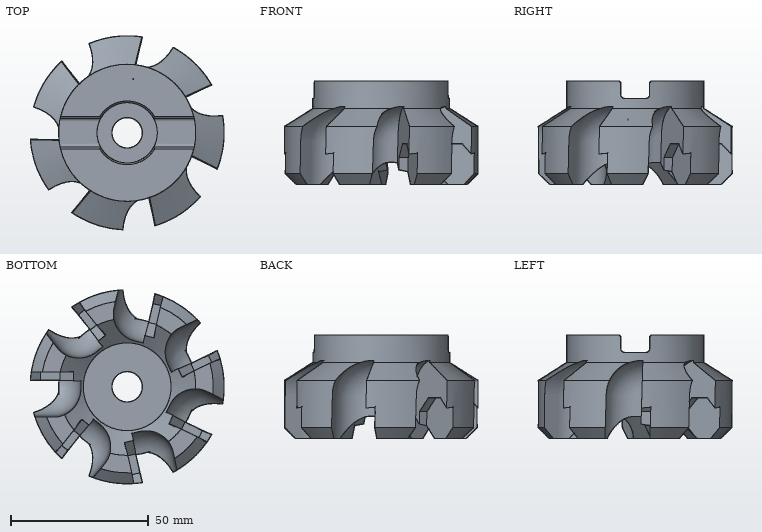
import cadquery as cq
import math

total_height = 37.78
rim_radius = 35.4
hub_radius = 25.0
shoulder_top_z = 27.8
shoulder_bottom_z = 21.2
bottom_chamfer = 4.0

bore_radius = 11.0
bore_depth = 20.0
bore_chamfer = 0.6
screw_hole_radius = 5.5
recess_mouth_radius = 25.0
recess_depth = 9.0
recess_top_radius = recess_mouth_radius - recess_depth

slot_width = 10.4
slot_depth = 6.3
slot_floor_fillet = 1.2
slot_edge_chamfer = 0.7

tooth_count = 7
first_tooth_angle = 180.0
axial_rake = 1.7
face_offset = 2.4
runout_z = 15.7
flute_floor_radius = 16.9
flute_floor_width = 3.0
flute_corner_radius = 10.0
flute_width = flute_floor_width + flute_corner_radius

pocket_sides = 8
pocket_across_flats = 17.0
pocket_depth = 3.4
pocket_center_radius = 28.1
pocket_center_z = 6.4

margin = 5.0


def make_body():
    """Hub, conical shoulder, rim and bottom chamfer in one revolve."""
    return (
        cq.Workplane("XZ")
        .moveTo(0, 0)
        .lineTo(rim_radius - bottom_chamfer, 0)
        .lineTo(rim_radius, bottom_chamfer)
        .lineTo(rim_radius, shoulder_bottom_z)
        .lineTo(hub_radius, shoulder_top_z)
        .lineTo(hub_radius, total_height)
        .lineTo(0, total_height)
        .close()
        .revolve(360, (0, 0), (0, 1))
    )


def make_center_cutter():
    """Stepped bore with its top chamfer, plus the conical recess below."""
    bore_floor_z = total_height - bore_depth
    return (
        cq.Workplane("XZ")
        .moveTo(0, 0)
        .lineTo(recess_mouth_radius, 0)
        .lineTo(recess_top_radius, recess_depth)
        .lineTo(screw_hole_radius, recess_depth)
        .lineTo(screw_hole_radius, bore_floor_z)
        .lineTo(bore_radius, bore_floor_z)
        .lineTo(bore_radius, total_height - bore_chamfer)
        .lineTo(bore_radius + bore_chamfer, total_height)
        .lineTo(0, total_height)
        .close()
        .revolve(360, (0, 0), (0, 1))
    )


def make_slot_cutter():
    """Drive slot with rounded floor corners and chamfered upper edges."""
    length = 2 * (hub_radius + margin)
    slot = (
        cq.Workplane("XY")
        .workplane(offset=total_height - slot_depth)
        .rect(length, slot_width)
        .extrude(slot_depth)
        .edges("|X and <Z")
        .fillet(slot_floor_fillet)
    )
    half_width = slot_width / 2
    flare = (
        cq.Workplane("YZ")
        .moveTo(-half_width, total_height - slot_edge_chamfer)
        .lineTo(half_width, total_height - slot_edge_chamfer)
        .lineTo(half_width + slot_edge_chamfer, total_height)
        .lineTo(-half_width - slot_edge_chamfer, total_height)
        .close()
        .extrude(length / 2, both=True)
    )
    return slot.union(flare)


def flute_section():
    """Plan section of a flute: tooth face, flat floor, round corner, open rim.

    The tooth face is the plane y = face_offset and the flute lies on its -Y side.
    """
    corner_x = flute_floor_radius + flute_corner_radius
    outer_x = rim_radius + margin
    diagonal = flute_corner_radius * math.sqrt(0.5)
    return (
        cq.Workplane("XY", origin=(0, face_offset, runout_z))
        .moveTo(flute_floor_radius, 0)
        .lineTo(flute_floor_radius, -flute_floor_width)
        .threePointArc(
            (corner_x - diagonal, -flute_floor_width - diagonal),
            (corner_x, -flute_width),
        )
        .lineTo(outer_x, -flute_width)
        .lineTo(outer_x, 0)
        .close()
    )


def make_flute_cutter():
    """Flute section run straight down, and swept a quarter turn above."""
    straight = flute_section().extrude(-(runout_z + margin))
    round_end = flute_section().revolve(90, (0, 0), (-1, 0))
    return straight.union(round_end)


def make_pocket_cutter():
    """Octagonal prism sunk into the tooth face, open towards the flute."""
    circumscribed_diameter = pocket_across_flats / math.cos(math.pi / pocket_sides)
    seat_y = face_offset + pocket_depth
    return (
        cq.Workplane("XZ", origin=(pocket_center_radius, seat_y, pocket_center_z))
        .transformed(rotate=(0, 0, 180 / pocket_sides))
        .polygon(pocket_sides, circumscribed_diameter)
        .extrude(pocket_depth + flute_floor_width)
    )


def make_tooth_gap_cutter():
    """Flute and insert pocket, leaned together by the axial rake."""
    pivot = (0, face_offset, runout_z)
    pivot_end = (1, face_offset, runout_z)
    gap = make_flute_cutter().union(make_pocket_cutter())
    return gap.rotate(pivot, pivot_end, -axial_rake)


result = make_body().cut(make_center_cutter()).cut(make_slot_cutter())
tooth_gap = make_tooth_gap_cutter()
for index in range(tooth_count):
    angle = first_tooth_angle + index * 360.0 / tooth_count
    result = result.cut(tooth_gap.rotate((0, 0, 0), (0, 0, 1), angle))